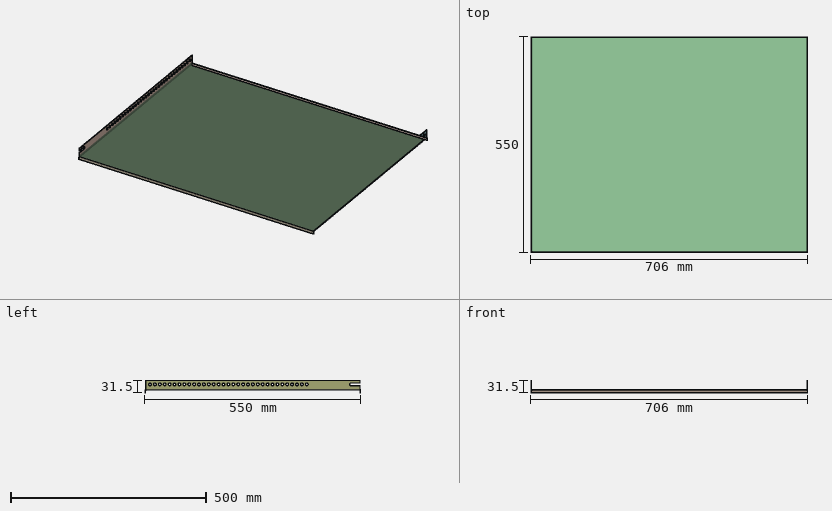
import cadquery as cq

width = 706.0
depth = 550.0
sheet = 1.5
side_flange_height = 25.0
end_flange_height = 8.0
inner_bend_radius = 0.5
outer_bend_radius = inner_bend_radius + sheet

side_flange_inset = 1.2

plate_bottom = end_flange_height - sheet
height = plate_bottom + side_flange_height

hole_diameter = 6.5
hole_pitch = 12.5
hole_count = 33
rear_hole_inset = 12.5
row_drop = 10.0
row_z = height - row_drop
slot_width = hole_diameter
slot_length = 28.0


def channel(span, leg_height, length):
    """U channel along Y with its floor on Z = 0, its legs rising and its two bends rounded."""
    outer = cq.Workplane("XY").box(span, length, leg_height, centered=(True, True, False))
    outer = outer.edges("|Y and <Z").fillet(outer_bend_radius)
    inner = cq.Workplane("XY").box(span - 2 * sheet, length, leg_height, centered=(True, True, False))
    inner = inner.edges("|Y and <Z").fillet(inner_bend_radius)
    return outer.cut(inner.translate((0, 0, sheet)))


def side_channel():
    """Plate with the two side flanges, which stop just short of the front and rear faces."""
    sides = channel(width, side_flange_height, depth - 2 * side_flange_inset)
    return sides.translate((0, 0, plate_bottom))


def end_channel():
    """Plate with the two end flanges; beyond the side bends only the upright flange strips remain."""
    ends = channel(depth, end_flange_height, width)
    ends = ends.rotate((0, 0, 0), (0, 0, 1), 90).rotate((0, 0, 0), (1, 0, 0), 180)
    ends = ends.translate((0, 0, end_flange_height))
    strip = cq.Workplane("XY").box(outer_bend_radius, depth, outer_bend_radius)
    strip_x = (width - outer_bend_radius) / 2
    strip_z = end_flange_height - outer_bend_radius / 2
    for side in (-1, 1):
        ends = ends.cut(strip.translate((side * strip_x, 0, strip_z)))
    return ends


def hole_row():
    """Cylinders along X that pierce both side flanges."""
    rear_hole_y = depth / 2 - rear_hole_inset
    centres = [(rear_hole_y - i * hole_pitch, row_z) for i in range(hole_count)]
    return cq.Workplane("YZ").pushPoints(centres).circle(hole_diameter / 2).extrude(width / 2, both=True)


def front_slot():
    """Round-ended slot along X that runs out through the front end of both side flanges."""
    slot = cq.Workplane("YZ").center(-depth / 2, row_z).slot2D(2 * slot_length, slot_width)
    return slot.extrude(width / 2, both=True)


result = side_channel().union(end_channel()).cut(hole_row()).cut(front_slot())